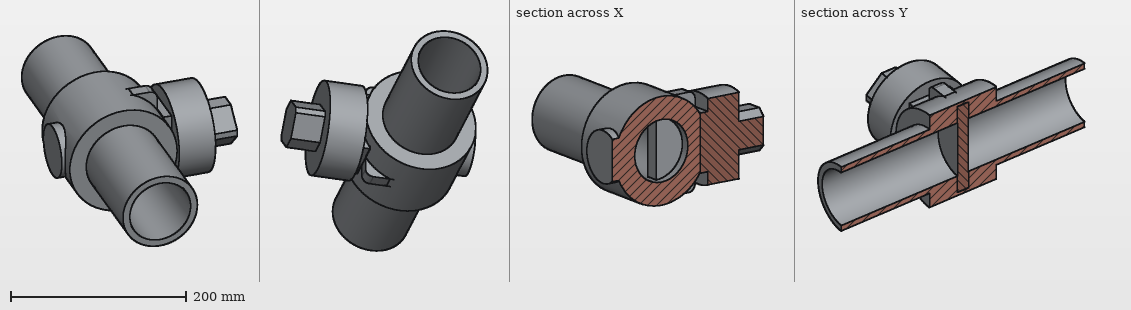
import cadquery as cq

pipe_length = 345.0
pipe_radius = 45.2
bore_radius = 37.0
collar_length = 95.0
collar_diameter = 130.0
collar_radius = collar_diameter / 2
boss_radius = 31.5
boss_face_y = -69.0

blade_thickness = 16.0
blade_height = 119.5
blade_tip_y = 0.0
blade_top_y = 55.0
blade_corner_radius = 9.0
neck_width = 57.3
neck_height = 72.0
cap_radius = 55.0
cap_base_y = collar_radius
cap_thickness = 44.0
head_width = 63.5
head_height = 51.0
head_chamfer = 21.7
head_length = 34.5


def cylinder_x(radius, length):
    """Cylinder on the X axis, centred on the origin."""
    return cq.Workplane("YZ").circle(radius).extrude(length / 2, both=True)


def plane_at_y(y):
    """Workplane at the given Y whose positive extrusion runs toward +Y."""
    return cq.Workplane(cq.Plane(origin=(0, y, 0), xDir=(-1, 0, 0), normal=(0, 1, 0)))


def make_closure():
    """Blade, neck, round cap and clamping head, as one body."""
    blade = (
        plane_at_y(blade_tip_y)
        .rect(blade_thickness, blade_height)
        .extrude(blade_top_y - blade_tip_y)
        .faces(">Y").edges("|X").fillet(blade_corner_radius)
    )
    neck = plane_at_y(blade_top_y).rect(neck_width, neck_height).extrude(cap_base_y - blade_top_y)
    cap = plane_at_y(cap_base_y).circle(cap_radius).extrude(cap_thickness)
    head = (
        plane_at_y(cap_base_y + cap_thickness)
        .rect(head_width, head_height)
        .extrude(head_length)
        .edges("|Y").chamfer(head_chamfer)
    )
    return blade.union(neck).union(cap).union(head)


def make_housing(closure):
    """Pipe with collar and side boss, recessed to receive the closure."""
    pipe = cylinder_x(pipe_radius, pipe_length)
    collar = cylinder_x(collar_radius, collar_length)
    boss = plane_at_y(boss_face_y).circle(boss_radius).extrude(-boss_face_y)
    bore = cylinder_x(bore_radius, pipe_length)
    return pipe.union(collar).union(boss).cut(bore).cut(closure)


closure = make_closure()
housing = make_housing(closure)

result = cq.Compound.makeCompound([housing.val(), closure.val()])